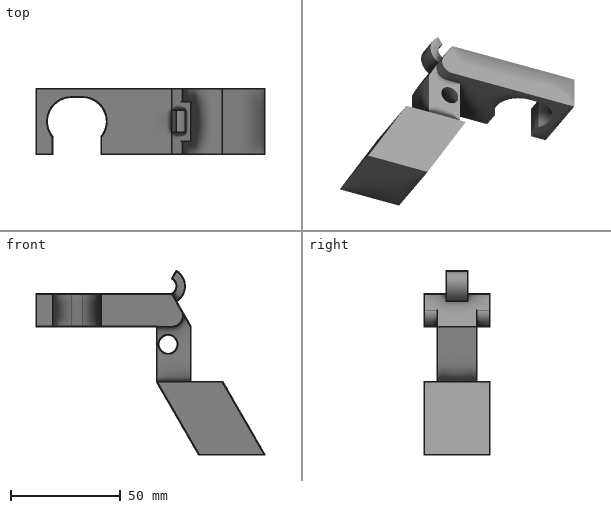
import cadquery as cq
import math

length = 104.0
width = 30.0
height = 83.7
slope = math.tan(math.radians(60))

hook_inner_radius = 4.0
hook_outer_radius = 2 * hook_inner_radius
hook_width = 10.0
hook_half_angle = math.radians(60)

arm_thickness = 15.0
post_height = 25.0
hook_center_z = height - hook_outer_radius * math.sin(hook_half_angle)
arm_top = hook_center_z - hook_inner_radius * math.sin(hook_half_angle)
arm_bottom = arm_top - arm_thickness
foot_top = arm_bottom - post_height

foot_length = 30.0
foot_lean = foot_top / slope
post_left = length - foot_length - foot_lean

post_length = 15.6
post_width = 18.0
post_right = post_left + post_length
hole_diameter = 8.5
hole_from_post_left = 5.2
hole_below_arm = 8.0

arm_top_right = post_right - arm_thickness / slope
cheek_radius = 5.0

clip_left = 5.0
clip_length = 27.0
clip_radius = 11.0
neck_width = 2 * clip_radius


def extrude_across(sketch, across):
    """Extrude an XZ outline symmetrically about Y = 0."""
    return sketch.extrude(across / 2, both=True)


def arm_outline():
    return (
        cq.Workplane("XZ")
        .moveTo(0, arm_bottom)
        .lineTo(post_right, arm_bottom)
        .lineTo(arm_top_right, arm_top)
        .lineTo(0, arm_top)
        .close()
    )


def make_arm():
    arm = extrude_across(arm_outline(), width)
    lower_corner = cq.selectors.NearestToPointSelector((post_right, 0, arm_bottom))
    return arm.edges("|Y").edges(lower_corner).fillet(cheek_radius)


def make_clip_opening():
    clip_center_x = clip_left + clip_length / 2
    base = cq.Workplane("XY", origin=(clip_center_x, 0, arm_bottom))
    obround = base.slot2D(clip_length, 2 * clip_radius).extrude(arm_thickness)
    neck = base.center(0, -width / 4).rect(neck_width, width / 2).extrude(arm_thickness)
    return obround.union(neck)


def make_post():
    outline = (
        cq.Workplane("XZ")
        .moveTo(post_left, foot_top)
        .lineTo(post_right, foot_top)
        .lineTo(post_right, arm_bottom)
        .lineTo(arm_top_right, arm_top)
        .lineTo(post_left, arm_top)
        .close()
    )
    hole = (
        cq.Workplane("XZ")
        .center(post_left + hole_from_post_left, arm_bottom - hole_below_arm)
        .circle(hole_diameter / 2)
    )
    return extrude_across(outline, post_width).cut(extrude_across(hole, post_width))


def make_foot():
    outline = (
        cq.Workplane("XZ")
        .moveTo(length - foot_length, 0)
        .lineTo(length, 0)
        .lineTo(length - foot_lean, foot_top)
        .lineTo(post_left, foot_top)
        .close()
    )
    return extrude_across(outline, width)


def make_hook():
    center_x = arm_top_right - hook_inner_radius * math.cos(hook_half_angle)

    def arc_point(radius, angle):
        return (center_x + radius * math.cos(angle), hook_center_z + radius * math.sin(angle))

    outline = (
        cq.Workplane("XZ")
        .moveTo(*arc_point(hook_inner_radius, -hook_half_angle))
        .threePointArc(arc_point(hook_inner_radius, 0), arc_point(hook_inner_radius, hook_half_angle))
        .lineTo(*arc_point(hook_outer_radius, hook_half_angle))
        .threePointArc(arc_point(hook_outer_radius, 0), arc_point(hook_outer_radius, -hook_half_angle))
        .lineTo(arm_top_right - hook_inner_radius, arm_bottom + arm_thickness / 2)
        .lineTo(arm_top_right - hook_inner_radius, arm_top)
        .close()
    )
    return extrude_across(outline, hook_width)


result = make_arm().cut(make_clip_opening())
result = result.union(make_post()).union(make_foot()).union(make_hook())